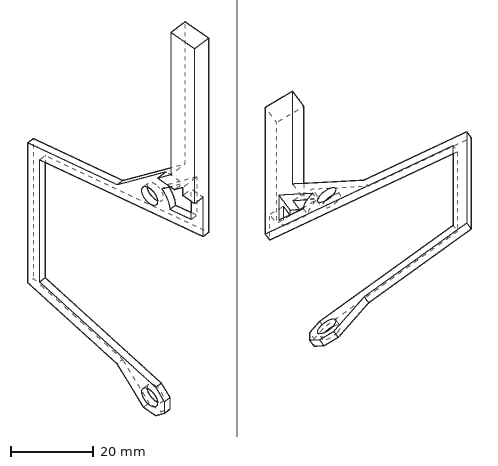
import cadquery as cq
import math

WIDTH = 59.0
HEIGHT = 143.15
THICKNESS = 5.0
PLATE_THICKNESS = 2.0
WALL = 4.0

INNER_HALF_HEIGHT = 21.5
ARM_ANGLE = 12.95
ARM_SLOPE = math.tan(math.radians(ARM_ANGLE))

HOLE_DIAMETER = 5.4
HOLE_X = 41.0
HOLE_Z = 35.5
EYE_INRADIUS = 5.0
OCTAGON_SIDES = 8

BAR_WIDTH = 8.0
BAR_LENGTH = 50.15
THICK_LENGTH = 54.6

BRACE_WIDTH = 4.0
GUARD_RADIUS = 6.85

BOTTOM_Z = -HOLE_Z - EYE_INRADIUS
TOP_Z = BOTTOM_Z + HEIGHT
BAR_LEFT_X = WIDTH - BAR_WIDTH
SHOULDER = (BAR_LEFT_X, TOP_Z - BAR_LENGTH)
ARM_RISE = WALL * math.hypot(1, ARM_SLOPE)


def arm_inner(x):
    """Height of the arm's inner edge above Z = 0."""
    return INNER_HALF_HEIGHT + ARM_SLOPE * (x - WALL)


def arm_outer(x):
    """Height of the arm's outer edge above Z = 0."""
    return arm_inner(x) + ARM_RISE


def knee(x, z):
    """Point where the 45 degree line through (x, z) meets the arm's outer edge."""
    knee_x = (arm_outer(0) - z + x) / (1 - ARM_SLOPE)
    return knee_x, arm_outer(knee_x)


def prism(points, depth):
    """Extrude a closed XZ polygon from the rear face (Y = 0) toward -Y."""
    return cq.Workplane("XZ").polyline(points).close().extrude(depth)


def cylinders(centres, radius):
    """Round rods along Y through the full thickness."""
    return cq.Workplane("XZ").pushPoints(centres).circle(radius).extrude(THICKNESS)


def make_upper_outline(depth):
    """Upper arm, brace and handle bar, without the window."""
    return prism([
        (WALL, arm_inner(WALL)),
        (WIDTH, arm_inner(WIDTH)),
        (WIDTH, TOP_Z),
        (BAR_LEFT_X, TOP_Z),
        SHOULDER,
        knee(*SHOULDER),
        (0, arm_outer(0)),
        (0, 0),
        (WALL, 0),
    ], depth)


def make_handle():
    """Full-thickness top stretch of the upper outline."""
    step_z = TOP_Z - THICK_LENGTH
    keep = prism([(0, step_z), (WIDTH, step_z), (WIDTH, TOP_Z), (0, TOP_Z)], THICKNESS)
    return make_upper_outline(THICKNESS).intersect(keep)


def make_eye():
    """Octagon around the lower hole, with flats at its bottom and right."""
    half_side_angle = math.pi / OCTAGON_SIDES
    circumradius = EYE_INRADIUS / math.cos(half_side_angle)
    corners = []
    for i in range(OCTAGON_SIDES):
        angle = (2 * i + 1) * half_side_angle
        corners.append((HOLE_X + circumradius * math.cos(angle), -HOLE_Z + circumradius * math.sin(angle)))
    return prism(corners, PLATE_THICKNESS)


def make_lower_arm():
    """Lower arm, with a 45 degree gusset that continues a side of the eye."""
    half_flat = EYE_INRADIUS * math.tan(math.pi / OCTAGON_SIDES)
    knee_x, knee_z = knee(HOLE_X - half_flat, HOLE_Z + EYE_INRADIUS)
    arm = prism([
        (WALL, 0),
        (WALL, -arm_inner(WALL)),
        (HOLE_X + half_flat, -arm_inner(HOLE_X + half_flat)),
        (HOLE_X, -HOLE_Z),
        (HOLE_X - half_flat, BOTTOM_Z),
        (knee_x, -knee_z),
        (0, -arm_outer(0)),
        (0, 0),
    ], PLATE_THICKNESS)
    return arm.union(make_eye())


def make_window():
    """Opening bounded by brace, post and arm, less the round guard of the upper hole."""
    right_x = WIDTH - WALL
    shoulder_x, shoulder_z = SHOULDER
    brace_offset = shoulder_z - shoulder_x - BRACE_WIDTH * math.sqrt(2)
    left_x, left_z = knee(0, brace_offset)
    triangle = prism([
        (left_x, left_z),
        (right_x, arm_outer(right_x)),
        (right_x, right_x + brace_offset),
    ], THICKNESS)
    return triangle.cut(cylinders([(HOLE_X, HOLE_Z)], GUARD_RADIUS))


def make_holes():
    return cylinders([(HOLE_X, HOLE_Z), (HOLE_X, -HOLE_Z)], HOLE_DIAMETER / 2)


plate = make_upper_outline(PLATE_THICKNESS).union(make_lower_arm())
result = plate.union(make_handle()).cut(make_window()).cut(make_holes())